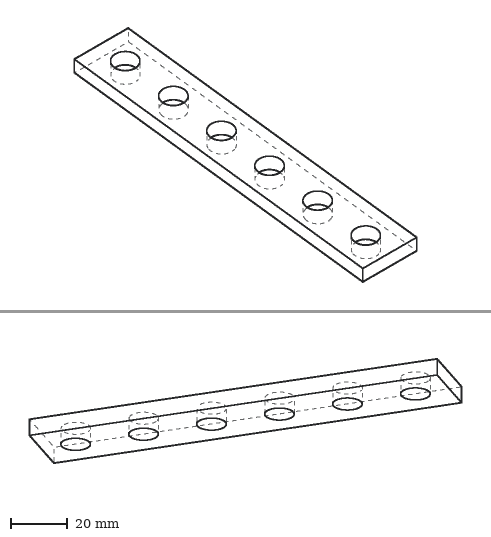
import cadquery as cq

length = 152.4
thickness = 6.2
hole_count = 6
hole_diameter = 10.4

hole_pitch = length / hole_count
width = hole_pitch

bar = cq.Workplane("XY").box(length, width, thickness)

result = (
    bar.faces(">Z")
    .workplane()
    .rarray(hole_pitch, width, hole_count, 1)
    .hole(hole_diameter)
)